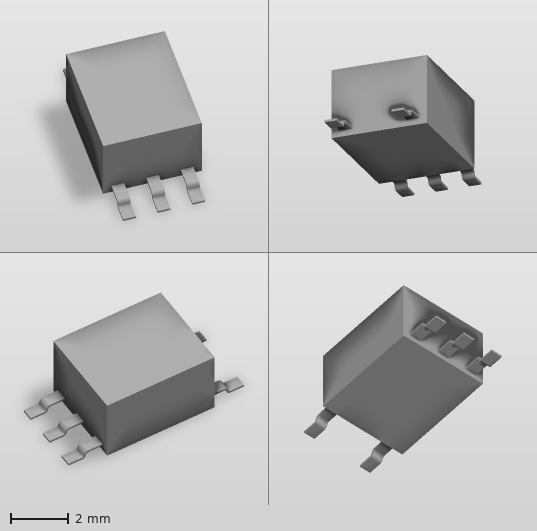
import cadquery as cq
import math

OVERALL_LENGTH = 7.21
HOUSING_LENGTH = 4.41
HOUSING_WIDTH = 3.61
HOUSING_HEIGHT = 2.59

MARKER_DIAMETER = 0.22
MARKER_DEPTH = 0.035
MARKER_INSET_X = 0.94
MARKER_INSET_Y = 0.685
MARKER_X = -HOUSING_LENGTH / 2 + MARKER_INSET_X
MARKER_Y = HOUSING_WIDTH / 2 - MARKER_INSET_Y

LEAD_WIDTH = 0.46
LEAD_THICKNESS = 0.09
LEAD_HEIGHT = 0.325
LEAD_PITCH = 1.27
FOOT_LENGTH = 0.56
SLOPE_ANGLE = math.radians(70)
FOOT_BEND_INNER_RADIUS = 0.06
SHOULDER_BEND_OUTER_RADIUS = 0.195
LEFT_LEAD_ROWS = (-1, 1)
RIGHT_LEAD_ROWS = (-1, 0, 1)


def make_marker():
    """Thin disc whose upper face is level with the housing top."""
    return (
        cq.Workplane("XY", origin=(MARKER_X, MARKER_Y, HOUSING_HEIGHT - MARKER_DEPTH))
        .circle(MARKER_DIAMETER / 2)
        .extrude(MARKER_DEPTH)
    )


def make_housing():
    """Plain block with a shallow recess that holds the marker."""
    block = cq.Workplane("XY").box(
        HOUSING_LENGTH, HOUSING_WIDTH, HOUSING_HEIGHT, centered=(True, True, False)
    )
    return block.cut(make_marker())


def bend_point(center, radius, angle):
    """Point on a bend in the XZ plane, at an angle measured from +X."""
    return (center[0] + radius * math.cos(angle), center[1] + radius * math.sin(angle))


def make_left_lead(y_center):
    """Bent strip from its free end on the -X side to the housing wall."""
    foot_end_x = -OVERALL_LENGTH / 2
    wall_x = -HOUSING_LENGTH / 2
    foot_outer_radius = FOOT_BEND_INNER_RADIUS + LEAD_THICKNESS
    shoulder_inner_radius = SHOULDER_BEND_OUTER_RADIUS - LEAD_THICKNESS

    bend_radius_sum = FOOT_BEND_INNER_RADIUS + SHOULDER_BEND_OUTER_RADIUS
    bend_rise = bend_radius_sum * (1 - math.cos(SLOPE_ANGLE))
    slope_rise = LEAD_HEIGHT - LEAD_THICKNESS - bend_rise
    bend_run = bend_radius_sum * math.sin(SLOPE_ANGLE) + slope_rise / math.tan(SLOPE_ANGLE)

    foot_center = (foot_end_x + FOOT_LENGTH, foot_outer_radius)
    shoulder_center = (foot_center[0] + bend_run, LEAD_HEIGHT - SHOULDER_BEND_OUTER_RADIUS)

    foot_level = -math.pi / 2
    foot_middle = foot_level + SLOPE_ANGLE / 2
    foot_slope = foot_level + SLOPE_ANGLE
    shoulder_level = math.pi / 2
    shoulder_middle = shoulder_level + SLOPE_ANGLE / 2
    shoulder_slope = shoulder_level + SLOPE_ANGLE

    profile = (
        cq.Workplane("XZ", origin=(0, y_center + LEAD_WIDTH / 2, 0))
        .moveTo(foot_end_x, 0)
        .lineTo(*bend_point(foot_center, foot_outer_radius, foot_level))
        .threePointArc(
            bend_point(foot_center, foot_outer_radius, foot_middle),
            bend_point(foot_center, foot_outer_radius, foot_slope),
        )
        .lineTo(*bend_point(shoulder_center, shoulder_inner_radius, shoulder_slope))
        .threePointArc(
            bend_point(shoulder_center, shoulder_inner_radius, shoulder_middle),
            bend_point(shoulder_center, shoulder_inner_radius, shoulder_level),
        )
        .lineTo(wall_x, LEAD_HEIGHT - LEAD_THICKNESS)
        .lineTo(wall_x, LEAD_HEIGHT)
        .lineTo(*bend_point(shoulder_center, SHOULDER_BEND_OUTER_RADIUS, shoulder_level))
        .threePointArc(
            bend_point(shoulder_center, SHOULDER_BEND_OUTER_RADIUS, shoulder_middle),
            bend_point(shoulder_center, SHOULDER_BEND_OUTER_RADIUS, shoulder_slope),
        )
        .lineTo(*bend_point(foot_center, FOOT_BEND_INNER_RADIUS, foot_slope))
        .threePointArc(
            bend_point(foot_center, FOOT_BEND_INNER_RADIUS, foot_middle),
            bend_point(foot_center, FOOT_BEND_INNER_RADIUS, foot_level),
        )
        .lineTo(foot_end_x, LEAD_THICKNESS)
        .close()
    )
    return profile.extrude(LEAD_WIDTH)


def make_right_lead(y_center):
    """Mirror image of a left lead, on the +X side."""
    return make_left_lead(y_center).mirror("YZ")


housing = make_housing()
marker = make_marker()
leads = []
for row in LEFT_LEAD_ROWS:
    leads.append(make_left_lead(row * LEAD_PITCH))
for row in RIGHT_LEAD_ROWS:
    leads.append(make_right_lead(row * LEAD_PITCH))

result = cq.Compound.makeCompound([housing.val(), marker.val(), *[lead.val() for lead in leads]])